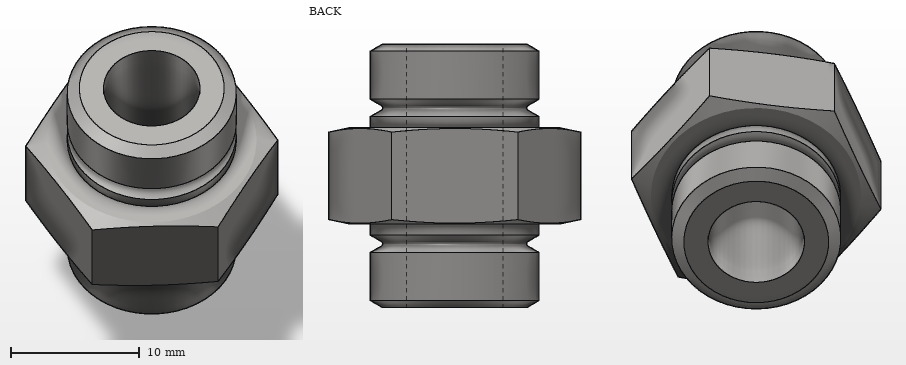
import cadquery as cq
import math

length = 20.5
across_flats = 17.0
hex_height = 7.5
bore_diameter = 7.5

thread_radius = 6.58
collar_length = 0.86
tip_radius = 5.64
tip_chamfer_length = 0.55

groove_radius = 5.62
groove_root_round = 0.2
flank_angle = math.radians(30)

hex_face_radius = 8.18
hex_chamfer_angle = 12.0

half_length = length / 2
half_hex = hex_height / 2
corner_radius = across_flats / 2 / math.cos(math.radians(30))


def make_hexagon():
    """Hexagon with corners on the X axis, its faces chamfered by a cone."""
    prism = (
        cq.Workplane("XY")
        .polygon(6, 2 * corner_radius)
        .extrude(half_hex, both=True)
    )
    chamfer_drop = (corner_radius - hex_face_radius) * math.tan(math.radians(hex_chamfer_angle))
    edge_height = half_hex - chamfer_drop
    envelope = (
        cq.Workplane("XZ")
        .moveTo(0, -half_hex)
        .lineTo(hex_face_radius, -half_hex)
        .lineTo(corner_radius, -edge_height)
        .lineTo(corner_radius, edge_height)
        .lineTo(hex_face_radius, half_hex)
        .lineTo(0, half_hex)
        .close()
        .revolve(360, (0, 0, 0), (0, 1, 0))
    )
    return prism.intersect(envelope)


def make_upper_end():
    """Threaded end with a round-rooted undercut groove and a chamfered tip."""
    tangent_radius = groove_radius + groove_root_round * (1 - math.sin(flank_angle))
    half_root = groove_root_round * math.cos(flank_angle)
    flank_length = (thread_radius - tangent_radius) * math.tan(flank_angle)

    collar_top = half_hex + collar_length
    root_bottom = collar_top + flank_length
    root_middle = root_bottom + half_root
    root_top = root_middle + half_root
    thread_bottom = root_top + flank_length
    return (
        cq.Workplane("XZ")
        .moveTo(0, 0)
        .lineTo(thread_radius, 0)
        .lineTo(thread_radius, collar_top)
        .lineTo(tangent_radius, root_bottom)
        .threePointArc((groove_radius, root_middle), (tangent_radius, root_top))
        .lineTo(thread_radius, thread_bottom)
        .lineTo(thread_radius, half_length - tip_chamfer_length)
        .lineTo(tip_radius, half_length)
        .lineTo(0, half_length)
        .close()
        .revolve(360, (0, 0, 0), (0, 1, 0))
    )


upper_end = make_upper_end()
lower_end = upper_end.mirror("XY")
bore = cq.Workplane("XY").circle(bore_diameter / 2).extrude(half_length, both=True)

result = make_hexagon().union(upper_end).union(lower_end).cut(bore)